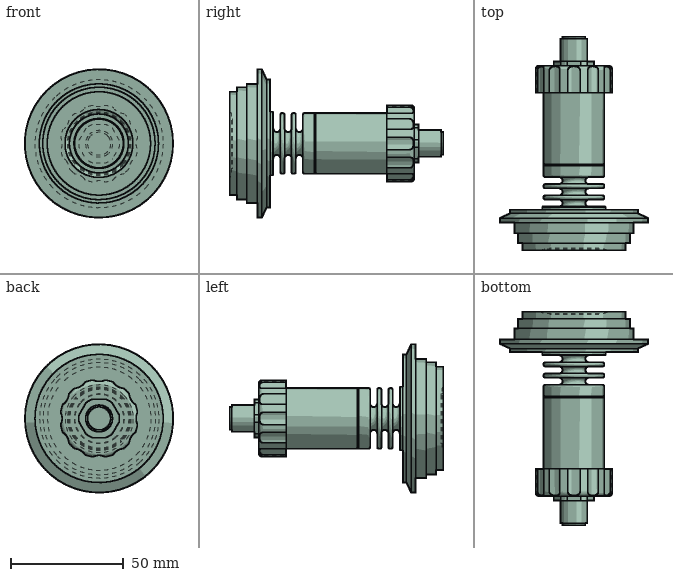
import cadquery as cq
import math

overall_length = 95.0

face_step_radius = 23.0
face_step_end = 3.2
middle_step_radius = 25.0
middle_step_end = 7.5
hub_radius = 26.5
flange_diameter = 66.0
flange_radius = flange_diameter / 2
flange_start = 12.35
flange_rim_end = 14.3
flange_cone_end = 16.4
flange_back_radius = 28.5
flange_end = 18.05

recess_radius = 15.1
recess_lip_width = 0.4
recess_lip_depth = 0.2
recess_floor_radius = 13.1
recess_depth = 0.8
membrane_radius = 11.1
membrane_wall_taper = 0.3
membrane_depth = 0.5

collar_radius = 14.2
collar_chamfer = 0.4
collar_end = 19.5
neck_radius = 5.1
fin_count = 2
fin_thickness = 2.0
housing_radius = 13.6
housing_start = 32.5
housing_fillet = 0.95
joint_groove_start = 37.6
joint_groove_width = 0.7
joint_groove_depth = 0.4

cap_radius = 17.3
cap_start = 69.9
cap_end = 82.1
cap_fillet = 2.0
scallop_count = 12
scallop_width = 5.4
scallop_depth = 0.9

nut_across_flats = 17.0
nut_corner_radius = 9.0
nut_end = 84.0
plug_radius = 6.0
plug_tip_radius = 5.1
plug_tip_length = 0.95


def profile_plane(y):
    """Sketch plane square to the part axis at y; extrude by a negative length toward +Y."""
    return cq.Workplane("XZ", origin=(0, y, 0))


def disc(radius, start, end):
    return profile_plane(start).circle(radius).extrude(start - end)


def turned(points):
    """Revolve (radius, y) points about the part axis."""
    return cq.Workplane("XY").polyline(points).close().revolve(360, (0, 0), (0, 1))


def process_connection():
    body = turned([
        (0, 0),
        (face_step_radius, 0),
        (face_step_radius, face_step_end),
        (middle_step_radius, face_step_end),
        (middle_step_radius, middle_step_end),
        (hub_radius, middle_step_end),
        (hub_radius, flange_start),
        (flange_radius, flange_start),
        (flange_radius, flange_rim_end),
        (flange_back_radius, flange_cone_end),
        (flange_back_radius, flange_end),
        (0, flange_end),
    ])
    membrane_floor = recess_depth + membrane_depth
    recess = turned([
        (0, 0),
        (recess_radius, 0),
        (recess_radius - recess_lip_width, recess_lip_depth),
        (recess_floor_radius, recess_depth),
        (membrane_radius, recess_depth),
        (membrane_radius - membrane_wall_taper, membrane_floor),
        (0, membrane_floor),
    ])
    return body.cut(recess)


def collar():
    return disc(collar_radius, flange_end, collar_end).faces(">Y").edges().chamfer(collar_chamfer)


def cooling_neck():
    """Neck with semicircular waists between fins whose rims are fully rounded."""
    gap = (housing_start - collar_end - fin_count * fin_thickness) / (fin_count + 1)
    pitch = gap + fin_thickness
    fin_round = fin_thickness / 2
    flare_radius = neck_radius + gap / 2

    neck = disc(neck_radius, collar_end, housing_start)
    for i in range(fin_count + 1):
        low = collar_end + i * pitch
        high = low + gap
        waist = (
            cq.Workplane("XY")
            .moveTo(0, low)
            .lineTo(flare_radius, low)
            .threePointArc((neck_radius, low + gap / 2), (flare_radius, high))
            .lineTo(0, high)
            .close()
            .revolve(360, (0, 0), (0, 1))
        )
        neck = neck.union(waist)
    for i in range(fin_count):
        low = collar_end + gap + i * pitch
        high = low + fin_thickness
        fin = (
            cq.Workplane("XY")
            .moveTo(0, low)
            .lineTo(housing_radius - fin_round, low)
            .threePointArc((housing_radius, low + fin_round), (housing_radius - fin_round, high))
            .lineTo(0, high)
            .close()
            .revolve(360, (0, 0), (0, 1))
        )
        neck = neck.union(fin)
    return neck


def housing():
    body = disc(housing_radius, housing_start, cap_start).faces("<Y").edges().fillet(housing_fillet)
    groove = (
        profile_plane(joint_groove_start)
        .circle(housing_radius)
        .circle(housing_radius - joint_groove_depth)
        .extrude(-joint_groove_width)
    )
    return body.cut(groove)


def grip_cap():
    cap = disc(cap_radius, cap_start, cap_end).faces(">Y").edges().fillet(cap_fillet)
    half_width = scallop_width / 2
    bottom_radius = cap_radius - scallop_depth
    sagitta = math.sqrt(cap_radius**2 - half_width**2) - bottom_radius
    scallop_radius = (half_width**2 + sagitta**2) / (2 * sagitta)
    scallops = (
        profile_plane(cap_start)
        .polarArray(bottom_radius + scallop_radius, 0, 360, scallop_count)
        .circle(scallop_radius)
        .extrude(cap_start - cap_end)
    )
    return cap.cut(scallops)


def hex_nut():
    across_corners = nut_across_flats / math.cos(math.pi / 6)
    hexagon = (
        profile_plane(cap_end)
        .polygon(6, across_corners)
        .extrude(cap_end - nut_end)
    )
    return hexagon.intersect(disc(nut_corner_radius, cap_end, nut_end))


def plug():
    tip_start = overall_length - plug_tip_length
    barrel = disc(plug_radius, nut_end, tip_start)
    return barrel.union(disc(plug_tip_radius, tip_start, overall_length))


result = (
    process_connection()
    .union(collar())
    .union(cooling_neck())
    .union(housing())
    .union(grip_cap())
    .union(hex_nut())
    .union(plug())
)